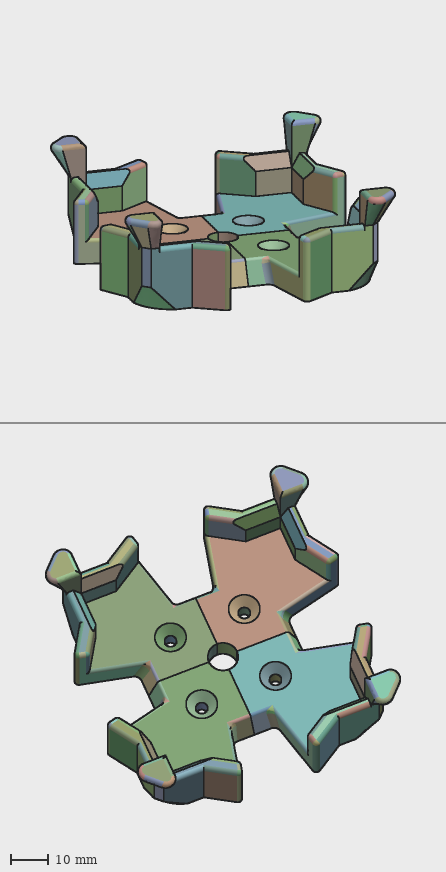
import cadquery as cq
import math


floor_top = 7.0
bevel_bottom = 14.05
wall_top = 18.0
post_top = 27.0

wall_outer = 33.4
wall_inner = 29.0
wall_inner_top = 31.3
outer_bend = 19.7
inner_bend = 18.9
tip_wall_angle = 32.2
corner_chamfer = 2.0

notch_bottom = 21.65
notch_top = 19.0
notch_half_width = 6.5
side_angle = 13.3

under_start = 24.5
under_middle = 30.2
under_margin = 2.3

post_reach = 39.0
post_diagonal = 51.05

bore_radius = 4.1
screw_offset = 10.75
screw_radius = 1.6
countersink_radius = 4.2
countersink_depth = 2.45

wall_round = 1.2
post_round = 1.2
floor_round = 0.9
notch_corner_round = 2.0

tip_run = math.tan(math.radians(tip_wall_angle))
side_run = math.tan(math.radians(side_angle))
mirror_normal = cq.Vector(1, -1, 0)


def side_y(x):
    """Y of the notch side at x."""
    return notch_half_width + (x - notch_bottom) * side_run


def tip_point(wall_x, bend_y):
    """Where a tip wall face that starts at (wall_x, bend_y) meets the notch side."""
    reach = (bend_y - side_y(wall_x)) / (1 / tip_run + side_run)
    return (wall_x + reach, side_y(wall_x + reach))


def flip(points):
    """The points mirrored across the diagonal, in reverse order."""
    return [(y, x) for x, y in reversed(points)]


def with_twin(body):
    """The body joined with its mirror image across the diagonal."""
    return body.union(body.mirror(mirror_normal))


def prism(points, height):
    return cq.Workplane("XY").polyline(points).close().extrude(height)


def profile_along_y(points, length):
    """An (x, z) profile swept from y = 0 in the +y direction."""
    return cq.Workplane("XZ").polyline(points).close().extrude(-length)


def polygon_wire(points, z):
    return cq.Wire.makePolygon([cq.Vector(x, y, z) for x, y in points], close=True)


def ruled_loft(lower, upper):
    return cq.Workplane(cq.Solid.makeLoft([lower, upper], True))


def edges_between(low, high):
    """Selector for edges centred in the (x, y) box from low to high, or in its mirror image."""
    box = cq.selectors.BoxSelector((*low, 0), (*high, wall_top))
    twin = cq.selectors.BoxSelector((*low[::-1], 0), (*high[::-1], wall_top))
    return box + twin


outer_tip = tip_point(wall_outer, outer_bend)
inner_tip = tip_point(wall_inner, inner_bend)
notch_corner = (notch_bottom, notch_half_width)
chamfer_start = (wall_outer, wall_outer - corner_chamfer)
outer_face = [outer_tip, (wall_outer, outer_bend), chamfer_start]

tip_box = [(wall_outer, 0), (outer_tip[0] + wall_round, outer_bend - wall_round)]

corner_end = [chamfer_start] + flip([chamfer_start])


def make_floor():
    half = [(notch_bottom, 0), notch_corner] + outer_face
    floor = prism([(0, 0)] + half + flip(half), floor_top)

    lean = profile_along_y(
        [(notch_bottom, 0), (notch_bottom, floor_top), (notch_top, floor_top)], notch_half_width
    )
    notch_plan = [(0, 0), (notch_bottom, 0), notch_corner, (0, side_y(0))]
    floor = floor.cut(with_twin(lean.intersect(prism(notch_plan, floor_top))))

    floor = floor.edges("|Z").edges(edges_between(*tip_box)).fillet(wall_round)

    rim = edges_between((floor_round, floor_round), (wall_outer, inner_tip[1]))
    floor = floor.faces(">Z").edges(rim).fillet(floor_round)

    corner = edges_between((notch_top + floor_round, side_y(notch_top)), notch_corner)
    return floor.edges(corner).fillet(notch_corner_round)


def make_wall():
    half = [inner_tip] + outer_face
    inner_face = [(inner_bend, wall_inner), (wall_inner, wall_inner), (wall_inner, inner_bend)]
    wall = prism(half + flip(half) + inner_face, wall_top)
    wall = wall.edges("|Z").edges(edges_between(*tip_box)).fillet(wall_round)
    wall = wall.faces(">Z").edges().fillet(wall_round)

    bevel = profile_along_y(
        [(wall_inner, bevel_bottom), (wall_inner_top, wall_top), (wall_inner, wall_top)], wall_outer
    )
    return wall.cut(with_twin(bevel))


def make_post():
    """A plain corner column that flares into a triangular top with rounded acute corners."""
    base = [(wall_inner, wall_inner), (wall_outer, wall_inner)] + corner_end + [(wall_inner, wall_outer)]
    column = prism(base, wall_top)

    end_radius = post_diagonal - (wall_inner + post_reach) * math.sqrt(0.5)
    centre_x = post_reach - end_radius
    centre_y = wall_inner + end_radius
    arc_start = (centre_x, wall_inner)

    def on_arc(degrees):
        angle = math.radians(degrees)
        return (centre_x + end_radius * math.cos(angle), centre_y + end_radius * math.sin(angle))

    arc_middle = on_arc(-22.5)
    arc_end = on_arc(45)
    top = (
        cq.Workplane("XY", origin=(0, 0, post_top))
        .moveTo(wall_inner, wall_inner)
        .lineTo(*arc_start)
        .threePointArc(arc_middle, arc_end)
        .lineTo(*arc_end[::-1])
        .threePointArc(arc_middle[::-1], arc_start[::-1])
        .close()
    )
    flare = ruled_loft(polygon_wire(base, wall_top), top.val())
    return column.union(flare.faces(">Z").edges().fillet(post_round))


def make_underside_cut():
    """What is removed below the wall corner: it leaves an arc at the bottom, the chamfer at the top."""
    inside = under_start - under_margin
    arc_start = (wall_outer, under_start)
    bottom = (
        cq.Workplane("XY")
        .moveTo(inside, inside)
        .lineTo(wall_outer, inside)
        .lineTo(*arc_start)
        .threePointArc((under_middle, under_middle), arc_start[::-1])
        .lineTo(inside, wall_outer)
        .close()
    )
    top = [(inside, inside), (wall_outer, inside)] + corner_end + [(inside, wall_outer)]
    kept = ruled_loft(bottom.val(), polygon_wire(top, floor_top))
    block_side = wall_outer - inside
    block = cq.Workplane("XY").box(block_side, block_side, floor_top, centered=False)
    return block.translate((inside, inside, 0)).cut(kept)


def make_countersunk_hole():
    hole = cq.Workplane("XY").circle(screw_radius).extrude(floor_top)
    sink_base = cq.Vector(0, 0, floor_top - countersink_depth)
    sink = cq.Solid.makeCone(screw_radius, countersink_radius, countersink_depth, sink_base)
    return hole.union(cq.Workplane(sink)).translate((screw_offset, screw_offset, 0))


def make_quarter():
    quarter = make_floor().union(make_wall()).union(make_post())
    quarter = quarter.cut(make_underside_cut())
    bore = cq.Workplane("XY").circle(bore_radius).extrude(floor_top)
    return quarter.cut(bore).cut(make_countersunk_hole()).solids().val()


first_quarter = make_quarter()
origin = cq.Vector(0, 0, 0)
z_axis = cq.Vector(0, 0, 1)
quarters = [first_quarter.rotate(origin, z_axis, 90 * turn) for turn in range(4)]

result = cq.Compound.makeCompound(quarters)